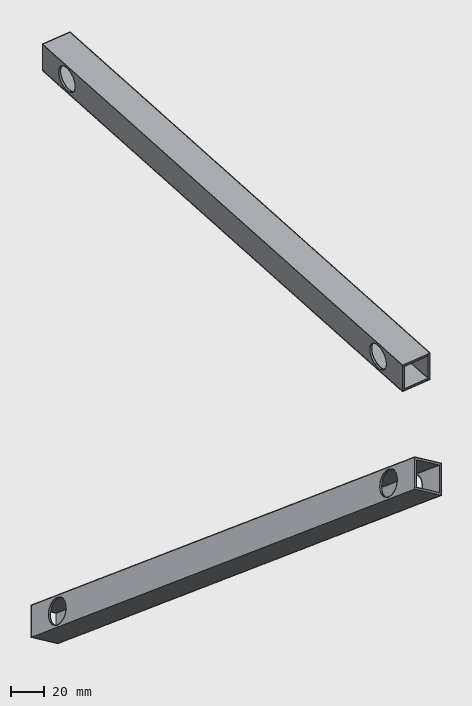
import cadquery as cq

length = 370.0
side = 20.0
wall = 1.5

hole_diameter = 17.0
hole_end_distance = 25.0
hole_spacing = length - 2 * hole_end_distance


def square_tube():
    bore = side - 2 * wall
    return cq.Workplane("YZ").rect(side, side).rect(bore, bore).extrude(length / 2, both=True)


def cross_holes():
    centres = [(-hole_spacing / 2, 0), (hole_spacing / 2, 0)]
    return cq.Workplane("XZ").pushPoints(centres).circle(hole_diameter / 2).extrude(side, both=True)


result = square_tube().cut(cross_holes())